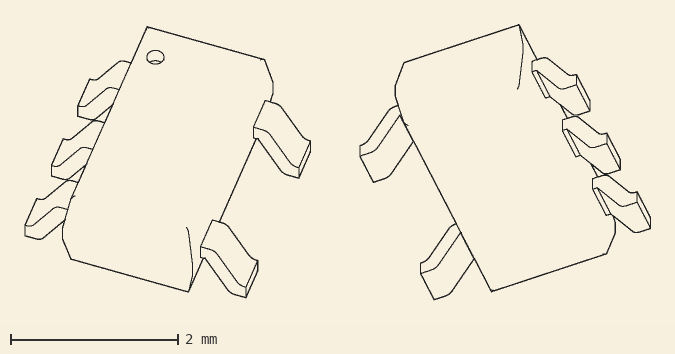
import cadquery as cq
import math

HOUSING_LENGTH = 2.9
HOUSING_WIDTH = 1.65
HOUSING_BOTTOM = 0.055
HOUSING_TOP = 1.3
WALL_INSET = 0.085
RIM_RADIUS = 0.04

MARK_DIAMETER = 0.205
MARK_DEPTH = 0.203
MARK_EDGE_DISTANCE = 0.334

OVERALL_WIDTH = 2.8
LEAD_WIDTH = 0.425
LEAD_PITCH = 0.95
LEAD_THICKNESS = 0.21
LEAD_TOP = 0.757
LEAD_SLOPE = 60.0
SHOULDER_LENGTH = 0.18
BEND_RADIUS = 0.11

LEAD_UNDERSIDE = LEAD_TOP - LEAD_THICKNESS
WALL_X = HOUSING_WIDTH / 2
TIP_X = OVERALL_WIDTH / 2


def tapered_half(belt_z, end_z):
    """Housing half that narrows from the belt to its rounded end face."""
    half = (
        cq.Workplane("XY", origin=(0, 0, belt_z))
        .rect(HOUSING_WIDTH, HOUSING_LENGTH)
        .workplane(offset=end_z - belt_z)
        .rect(HOUSING_WIDTH - 2 * WALL_INSET, HOUSING_LENGTH - 2 * WALL_INSET)
        .loft(ruled=True)
    )
    end_face = ">Z" if end_z > belt_z else "<Z"
    return half.faces(end_face).edges().fillet(RIM_RADIUS)


def make_housing():
    belt = (
        cq.Workplane("XY", origin=(0, 0, LEAD_UNDERSIDE))
        .rect(HOUSING_WIDTH, HOUSING_LENGTH)
        .extrude(LEAD_THICKNESS)
    )
    upper = tapered_half(LEAD_TOP, HOUSING_TOP)
    lower = tapered_half(LEAD_UNDERSIDE, HOUSING_BOTTOM)
    mark = (
        cq.Workplane("XY", origin=(MARK_EDGE_DISTANCE - WALL_X, LEAD_PITCH, HOUSING_TOP))
        .circle(MARK_DIAMETER / 2)
        .extrude(-MARK_DEPTH)
    )
    return belt.union(upper).union(lower).cut(mark).solids()


def make_lead(side, y):
    """Gull-wing lead centred at y; side is +1 or -1 for the +X or -X wall."""
    slope = math.radians(LEAD_SLOPE)
    slope_run = (LEAD_TOP - LEAD_THICKNESS) / math.tan(slope)
    miter = LEAD_THICKNESS * math.tan(slope / 2)
    upper_bend_x = WALL_X + SHOULDER_LENGTH
    lower_bend_x = upper_bend_x + slope_run
    outline = [
        (WALL_X, LEAD_TOP),
        (upper_bend_x, LEAD_TOP),
        (lower_bend_x, LEAD_THICKNESS),
        (TIP_X, LEAD_THICKNESS),
        (TIP_X, 0),
        (lower_bend_x - miter, 0),
        (upper_bend_x - miter, LEAD_UNDERSIDE),
        (WALL_X, LEAD_UNDERSIDE),
    ]
    rounded_corners = (outline[1], outline[2], outline[5])
    lead = (
        cq.Workplane("XZ", origin=(0, y, 0))
        .polyline([(side * x, z) for x, z in outline])
        .close()
        .extrude(LEAD_WIDTH / 2, both=True)
    )
    for x, z in rounded_corners:
        lead = lead.edges(cq.selectors.NearestToPointSelector((side * x, y, z))).fillet(BEND_RADIUS)
    return lead.solids()


housing = make_housing()

lead_places = [(-1, -1), (-1, 0), (-1, 1), (1, -1), (1, 1)]
leads = [make_lead(side, row * LEAD_PITCH) for side, row in lead_places]

result = cq.Compound.makeCompound([housing.val(), *[lead.val() for lead in leads]])